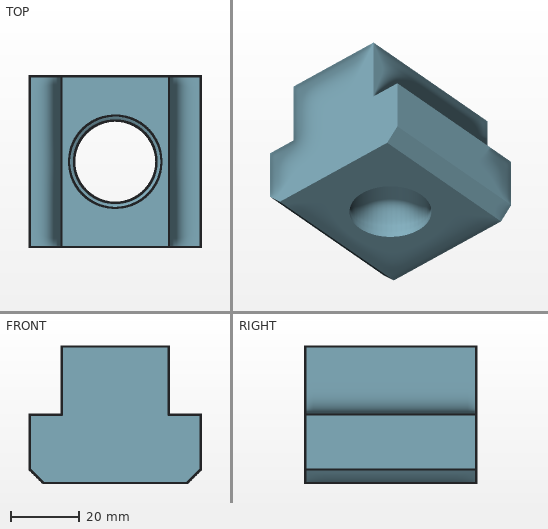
import cadquery as cq
import math

length = 50.0
base_width = 50.0
total_height = 40.0

base_height = 20.0
neck_width = 31.3
bottom_chamfer = 4.0

hole_diameter = 24.0
mouth_diameter = 27.0
mouth_half_angle = 60.0
mouth_depth = (mouth_diameter - hole_diameter) / 2 / math.tan(math.radians(mouth_half_angle))


def make_body():
    """T-shaped block with its two lower long edges chamfered."""
    base = (
        cq.Workplane("XY")
        .box(base_width, length, base_height, centered=(True, True, False))
        .edges("|Y and <Z")
        .chamfer(bottom_chamfer)
    )
    neck = cq.Workplane("XY").box(
        neck_width, length, total_height, centered=(True, True, False)
    )
    return base.union(neck)


def make_hole():
    """Cutter for the through hole and the conical countersink at its top."""
    bore = cq.Workplane("XY").circle(hole_diameter / 2).extrude(total_height)
    mouth = (
        cq.Workplane("XY")
        .workplane(offset=total_height)
        .circle(mouth_diameter / 2)
        .extrude(-mouth_depth, taper=mouth_half_angle)
    )
    return bore.union(mouth)


result = make_body().cut(make_hole())